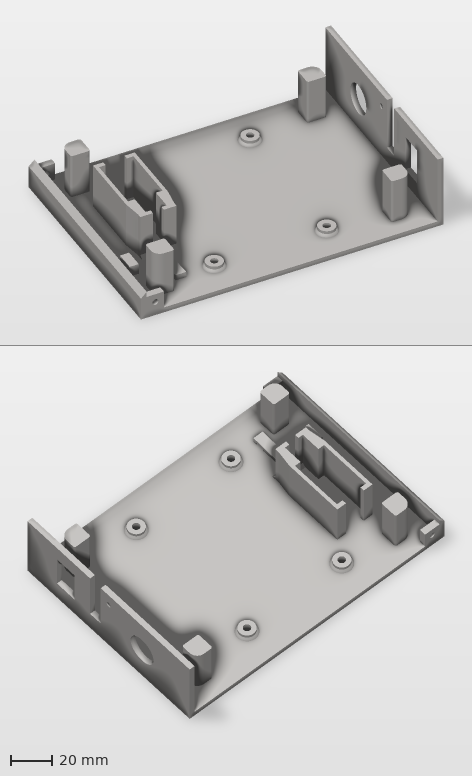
import cadquery as cq

WIDTH = 119.4
LENGTH = 166.0
HEIGHT = 41.0
FLOOR = 3.0
WALL = 3.2
POST_TOP = 28.0

ROUND_PORT_DIAMETER = 17.0
ROUND_PORT_X, ROUND_PORT_Z = -24.5, 20.8
INDICATOR_DIAMETER = 3.0
INDICATOR_X, INDICATOR_Z = 0.0, 33.2
OPENING_BOTTOM = 11.6
SLOT_LEFT, SLOT_WIDTH = 5.8, 7.8
WINDOW_LEFT, WINDOW_WIDTH, WINDOW_TOP = 25.2, 12.8, 31.7

EAR_TOP = 12.8
EAR_WIDTH = 3.8
EAR_DEPTH = 12.6
EAR_HOLE_DIAMETER = 3.3
EAR_HOLE_Y, EAR_HOLE_Z = 8.0, 8.0

POST_SIZE = 10.6
POST_X = 44.8
POST_FRONT_Y, POST_REAR_Y = 18.1, 147.9
POST_OUTER_RADIUS = 5.0
POST_CORNER_RADIUS = 1.2

STANDOFF_XS = (-40.3, 41.2)
STANDOFF_YS = (49.8, 111.5)
STANDOFF_DIAMETER = 9.5
STANDOFF_HEIGHT = 3.0
STANDOFF_BASE_FLARE = 1.3
STANDOFF_HOLE_DIAMETER = 4.2

HOLDER_Y = 30.5
HOLDER_LEFT, HOLDER_RIGHT = -28.2, 19.1
HOLDER_OUTER = 11.5
HOLDER_INNER = 9.5
HOLDER_NECK = 5.8
HOLDER_GAP = 3.0
HOLDER_END_OUTER = 10.0
HOLDER_LIP = 2.5
POCKET_RIGHT = 5.1
TAPER_START, TAPER_END = 7.0, 16.6
BRACE_HEIGHT = 1.8
INNER_BRACE = 1.8
OUTER_BRACE = 2.3

TONGUE_LEFT, TONGUE_RIGHT = 23.4, 43.0
TONGUE_LOW_TOP, TONGUE_HIGH_TOP = 5.0, 6.1
NOTCH_LEFT, NOTCH_RIGHT, NOTCH_TOP = 35.9, 41.0, 4.6

BLOCK_LEFT, BLOCK_FRONT = 19.8, 9.1
BLOCK_LENGTH, BLOCK_WIDTH, BLOCK_TOP = 10.3, 5.0, 9.0


def box(x, y, z, dx, dy, dz):
    """Box given by its lowest corner and its sizes."""
    return cq.Workplane("XY").box(dx, dy, dz, centered=False).translate((x, y, z))


def cylinder_along_y(x, z, diameter):
    """Cutter through the rear wall."""
    plane = cq.Workplane("XZ", origin=(x, LENGTH, z))
    return plane.circle(diameter / 2).extrude(2 * WALL, both=True)


def rear_wall():
    y = LENGTH - WALL
    wall = box(-WIDTH / 2, y, 0, WIDTH, WALL, HEIGHT)
    wall = wall.cut(box(SLOT_LEFT, y, OPENING_BOTTOM, SLOT_WIDTH, WALL, HEIGHT))
    wall = wall.cut(box(WINDOW_LEFT, y, OPENING_BOTTOM, WINDOW_WIDTH, WALL, WINDOW_TOP - OPENING_BOTTOM))
    wall = wall.cut(cylinder_along_y(ROUND_PORT_X, ROUND_PORT_Z, ROUND_PORT_DIAMETER))
    return wall.cut(cylinder_along_y(INDICATOR_X, INDICATOR_Z, INDICATOR_DIAMETER))


def front_lip():
    """Lip with a 45 degree top, closed by a drilled ear at each end."""
    profile = [(0, 0), (WALL, 0), (WALL, EAR_TOP + WALL), (0, EAR_TOP)]
    lip = cq.Workplane("YZ").polyline(profile).close().extrude(WIDTH / 2, both=True)
    for x in (-WIDTH / 2, WIDTH / 2 - EAR_WIDTH):
        lip = lip.union(box(x, 0, 0, EAR_WIDTH, EAR_DEPTH, EAR_TOP))
    hole = cq.Workplane("YZ").center(EAR_HOLE_Y, EAR_HOLE_Z).circle(EAR_HOLE_DIAMETER / 2)
    return lip.cut(hole.extrude(WIDTH, both=True))


def corner_post(x_side, y_side):
    """Square post whose corner nearest the tray corner has the large radius."""
    post = cq.Workplane("XY").rect(POST_SIZE, POST_SIZE).extrude(POST_TOP)
    outer_edge = cq.selectors.NearestToPointSelector((POST_SIZE / 2, POST_SIZE / 2, POST_TOP / 2))
    post = post.edges("|Z").edges(outer_edge).fillet(POST_OUTER_RADIUS)
    post = post.edges("|Z and (<X or <Y)").fillet(POST_CORNER_RADIUS)
    if x_side < 0:
        post = post.mirror("YZ")
    if y_side < 0:
        post = post.mirror("XZ")
    y = POST_REAR_Y if y_side > 0 else POST_FRONT_Y
    return post.translate((x_side * POST_X, y, 0))


def standoff(x, y):
    radius = STANDOFF_DIAMETER / 2
    profile = [
        (0, 0),
        (radius + STANDOFF_BASE_FLARE, 0),
        (radius, STANDOFF_BASE_FLARE),
        (radius, STANDOFF_HEIGHT),
        (0, STANDOFF_HEIGHT),
    ]
    body = cq.Workplane("XZ").polyline(profile).close().revolve(360, (0, 0), (0, 1))
    return body.translate((x, y, FLOOR))


def holder_wall():
    """Wall on the +Y side of the holder line, with the braces of its right-hand lip."""
    lip_left = HOLDER_RIGHT - HOLDER_LIP
    outline = [
        (HOLDER_LEFT, HOLDER_NECK),
        (HOLDER_LEFT, HOLDER_OUTER),
        (TAPER_START, HOLDER_OUTER),
        (TAPER_END, HOLDER_END_OUTER),
        (HOLDER_RIGHT, HOLDER_END_OUTER),
        (HOLDER_RIGHT, HOLDER_GAP),
        (lip_left, HOLDER_GAP),
        (lip_left, HOLDER_NECK),
        (POCKET_RIGHT, HOLDER_NECK),
        (POCKET_RIGHT, HOLDER_INNER),
        (HOLDER_LEFT + HOLDER_LIP, HOLDER_INNER),
        (HOLDER_LEFT + HOLDER_LIP, HOLDER_NECK),
    ]
    wall = cq.Workplane("XY").polyline(outline).close().extrude(POST_TOP)
    wall = wall.union(brace(lip_left, -INNER_BRACE, HOLDER_NECK))
    return wall.union(brace(HOLDER_RIGHT, OUTER_BRACE, HOLDER_END_OUTER))


def brace(x, reach, y_end):
    """Triangular foot from the lip face at x, spanning Y from the holder gap to y_end."""
    triangle = [(x, FLOOR), (x + reach, FLOOR), (x, FLOOR + BRACE_HEIGHT)]
    plane = cq.Workplane("XZ", origin=(0, y_end, 0))
    return plane.polyline(triangle).close().extrude(y_end - HOLDER_GAP)


def holder():
    wall = holder_wall()
    return wall.union(wall.mirror("XZ")).translate((0, HOLDER_Y, 0))


def tongue():
    """Tongue rising to the right, notched from below near its free end."""
    profile = [
        (TONGUE_LEFT, FLOOR),
        (TONGUE_LEFT, TONGUE_LOW_TOP),
        (TONGUE_RIGHT, TONGUE_HIGH_TOP),
        (TONGUE_RIGHT, FLOOR),
        (NOTCH_RIGHT, FLOOR),
        (NOTCH_RIGHT, NOTCH_TOP),
        (NOTCH_LEFT, NOTCH_TOP),
        (NOTCH_LEFT, FLOOR),
    ]
    plane = cq.Workplane("XZ", origin=(0, HOLDER_Y, 0))
    return plane.polyline(profile).close().extrude(HOLDER_GAP, both=True)


result = box(-WIDTH / 2, 0, 0, WIDTH, LENGTH, FLOOR)
result = result.union(rear_wall()).union(front_lip())

for x_side in (-1, 1):
    for y_side in (-1, 1):
        result = result.union(corner_post(x_side, y_side))

standoff_centres = [(x, y) for x in STANDOFF_XS for y in STANDOFF_YS]
for x, y in standoff_centres:
    result = result.union(standoff(x, y))

result = result.union(holder()).union(tongue())
result = result.union(box(BLOCK_LEFT, BLOCK_FRONT, 0, BLOCK_LENGTH, BLOCK_WIDTH, BLOCK_TOP))

standoff_holes = cq.Workplane("XY").pushPoints(standoff_centres).circle(STANDOFF_HOLE_DIAMETER / 2)
result = result.cut(standoff_holes.extrude(FLOOR + STANDOFF_HEIGHT))